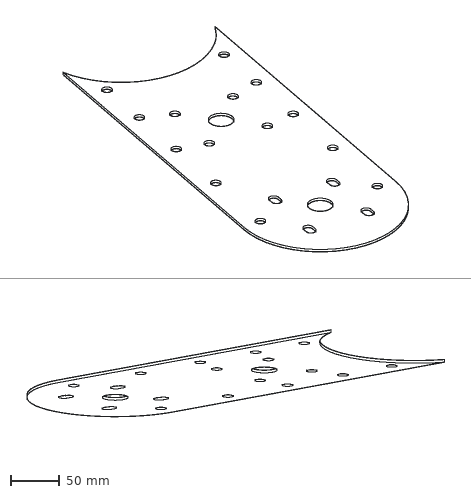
import cadquery as cq

length = 458.5
width = 182.5
thickness = 3.0
notch_depth = 62.0

end_radius = width / 2
end_center_x = length - end_radius

bolt_diameter = 11.0
bore_diameter = 26.5
slot_length = 16.5
edge_hole_xs = (53.5, 119.0, 194.0, 274.0, 364.5)
edge_row_spacing = 140.3
pattern_pitch = 69.5
front_bore_x = 166.5
slot_pattern_x = 369.5


def make_plate():
    """Flat plate with a concave arc at one end and a semicircle at the other."""
    return (
        cq.Workplane("XY")
        .moveTo(0, -end_radius)
        .lineTo(end_center_x, -end_radius)
        .threePointArc((length, 0), (end_center_x, end_radius))
        .lineTo(0, end_radius)
        .threePointArc((notch_depth, 0), (0, -end_radius))
        .close()
        .extrude(thickness)
    )


def square_pattern(center_x):
    """Corners of a square of holes centred on the plate's long axis."""
    half = pattern_pitch / 2
    return [(center_x + sx * half, sy * half) for sx in (-1, 1) for sy in (-1, 1)]


edge_holes = [(x, side * edge_row_spacing / 2) for x in edge_hole_xs for side in (-1, 1)]
bolt_holes = edge_holes + square_pattern(front_bore_x)
bores = [(front_bore_x, 0), (end_center_x, 0)]

result = (
    make_plate()
    .faces(">Z").workplane(origin=(0, 0, thickness))
    .pushPoints(bolt_holes).hole(bolt_diameter)
    .pushPoints(bores).hole(bore_diameter)
    .pushPoints(square_pattern(slot_pattern_x)).slot2D(slot_length, bolt_diameter).cutThruAll()
)